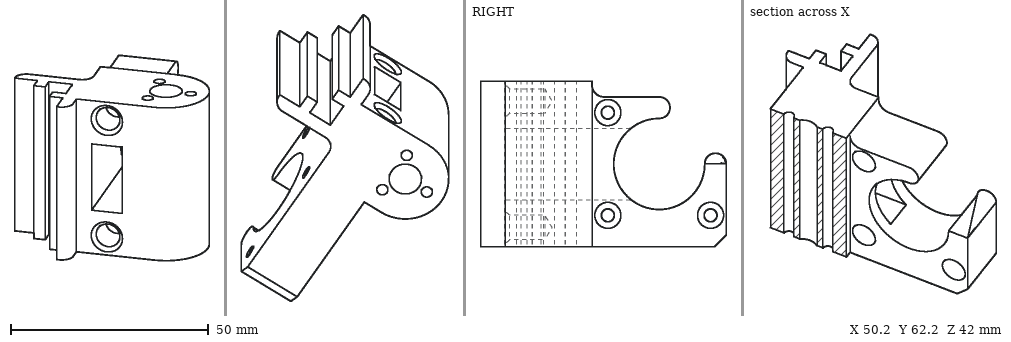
import cadquery as cq
import math

height = 42.0
mid_z = height / 2

body_radius = 11.0
body_left_x = -20.2

rail_corner_x = -24.0
rail_corner_y = -2.0
rail_length = 15.2
rail_thickness = 3.5
rail_tip_radius = 3.0
corner_fillet = 3.0
tongue_offset = 6.2
tongue_width = 3.0
tongue_depth = 3.5

rod_bore_diameter = 8.2
flange_hole_diameter = 2.8
flange_circle_radius = 6.5
flange_hole_count = 3

front_x = -12.5
front_hole_spacing = 32.0
front_hole_diameter = 6.2
front_countersink_diameter = 8.2
front_countersink_depth = 1.1
front_hole_depth = 10.0
front_tip_depth = 1.8
window_width = 8.0
window_height = 18.2

arm_width = 15.0
arm_back_y = 45.0
motor_bore_diameter = 23.0
motor_bore_radius = motor_bore_diameter / 2
tip_diameter = 5.5
tip_radius = tip_diameter / 2
arm_step_fillet = 3.0
arm_chamfer = 3.0
motor_hole_spacing = 26.0
motor_hole_diameter = 3.2
motor_counterbore_diameter = 6.6
motor_lip_thickness = 0.5

motor_y = arm_back_y - tip_diameter - motor_bore_radius
motor_z = mid_z
arm_top_z = motor_z + motor_bore_radius + tip_diameter
diagonal = math.sqrt(0.5)


def make_body():
    """Plan outline of the rounded block with its two rails, extruded to full height."""
    rail_left_x = rail_corner_x - rail_length
    rail_front_y = rail_corner_y - rail_length
    rail_back_y = rail_corner_y + rail_thickness
    rail_right_x = rail_corner_x + rail_thickness
    return (
        cq.Workplane("XY")
        .moveTo(0, -body_radius)
        .threePointArc((body_radius, 0), (0, body_radius))
        .lineTo(body_left_x, body_radius)
        .lineTo(body_left_x, rail_back_y + corner_fillet)
        .radiusArc((body_left_x - corner_fillet, rail_back_y), corner_fillet)
        .lineTo(rail_left_x + rail_tip_radius, rail_back_y)
        .radiusArc((rail_left_x, rail_back_y - rail_tip_radius), -rail_tip_radius)
        .lineTo(rail_left_x, rail_corner_y)
        .lineTo(rail_corner_x, rail_corner_y)
        .lineTo(rail_corner_x, rail_front_y)
        .lineTo(rail_right_x - rail_tip_radius, rail_front_y)
        .radiusArc((rail_right_x, rail_front_y + rail_tip_radius), -rail_tip_radius)
        .lineTo(rail_right_x, -body_radius)
        .close()
        .extrude(height)
    )


def make_tongues():
    """One locating tongue on the inner face of each rail."""
    left_tongue = cq.Workplane("XY").box(tongue_width, tongue_depth, height, centered=False).translate(
        (rail_corner_x - tongue_offset - tongue_width, rail_corner_y - tongue_depth, 0)
    )
    front_tongue = cq.Workplane("XY").box(tongue_depth, tongue_width, height, centered=False).translate(
        (rail_corner_x - tongue_depth, rail_corner_y - tongue_offset - tongue_width, 0)
    )
    return left_tongue.union(front_tongue)


def make_arm():
    """Hook-shaped motor arm: a three-quarter ring with one quarter left open."""
    bore_back_y = motor_y + motor_bore_radius
    bore_top_z = motor_z + motor_bore_radius
    return (
        cq.Workplane("YZ", origin=(body_left_x, 0, 0))
        .moveTo(0, 0)
        .lineTo(arm_back_y - arm_chamfer, 0)
        .lineTo(arm_back_y, arm_chamfer)
        .lineTo(arm_back_y, motor_z)
        .lineTo(bore_back_y, motor_z)
        .threePointArc(
            (motor_y - motor_bore_radius * diagonal, motor_z - motor_bore_radius * diagonal),
            (motor_y, bore_top_z),
        )
        .threePointArc((motor_y + tip_radius, bore_top_z + tip_radius), (motor_y, arm_top_z))
        .lineTo(body_radius + arm_step_fillet, arm_top_z)
        .radiusArc((body_radius, arm_top_z + arm_step_fillet), arm_step_fillet)
        .lineTo(body_radius, height)
        .lineTo(0, height)
        .close()
        .extrude(arm_width)
    )


def make_tapered_tip():
    """Half cone on the lower tip, leaning so that its back stays flush with the arm."""
    half_cone = (
        cq.Workplane("XY")
        .polyline([(0, 0), (arm_width, 0), (0, tip_radius)])
        .close()
        .revolve(180, (0, 0, 0), (1, 0, 0))
    )
    lean = tip_radius / arm_width
    shear = cq.Matrix([[1, 0, 0, 0], [lean, 1, 0, 0], [0, 0, 1, 0]])
    leaning_cone = half_cone.val().transformGeometry(shear)
    return cq.Workplane(leaning_cone).translate((body_left_x, arm_back_y - tip_radius, motor_z))


def make_rod_holes():
    """Rod bore and its ring of screw holes, through the full height."""
    bore = cq.Workplane("XY").circle(rod_bore_diameter / 2).extrude(height)
    screws = (
        cq.Workplane("XY")
        .polarArray(flange_circle_radius, 0, 360, flange_hole_count)
        .circle(flange_hole_diameter / 2)
        .extrude(height)
    )
    return bore.union(screws)


def make_front_hole(center_z):
    """Blind countersunk hole with a conical bottom, entering from the -Y face."""
    hole_radius = front_hole_diameter / 2
    profile = [
        (0, 0),
        (front_countersink_diameter / 2, 0),
        (hole_radius, front_countersink_depth),
        (hole_radius, front_hole_depth),
        (0, front_hole_depth + front_tip_depth),
    ]
    return (
        cq.Workplane("XY")
        .polyline(profile)
        .close()
        .revolve(360, (0, 0, 0), (0, 1, 0))
        .translate((front_x, -body_radius, center_z))
    )


def make_window():
    """Rectangular window from the front face into the motor bore."""
    window_length = body_radius + motor_y
    return cq.Workplane("XY").box(window_width, window_length, window_height).translate(
        (front_x, motor_y - window_length / 2, motor_z)
    )


def make_motor_hole(center_y, center_z):
    """Screw hole with a deep counterbore from the +X side, leaving a thin lip."""
    hole = cq.Workplane("YZ", origin=(body_left_x, center_y, center_z))
    lip_hole = hole.circle(motor_hole_diameter / 2).extrude(arm_width)
    counterbore = (
        hole.workplane(offset=motor_lip_thickness)
        .circle(motor_counterbore_diameter / 2)
        .extrude(arm_width - motor_lip_thickness)
    )
    return lip_hole.union(counterbore)


result = make_body().union(make_tongues()).union(make_arm()).union(make_tapered_tip())
result = result.cut(make_rod_holes()).cut(make_window())

for side in (-1, 1):
    result = result.cut(make_front_hole(mid_z + side * front_hole_spacing / 2))

half_spacing = motor_hole_spacing / 2
for y_side, z_side in ((-1, -1), (1, -1), (-1, 1)):
    result = result.cut(make_motor_hole(motor_y + y_side * half_spacing, motor_z + z_side * half_spacing))